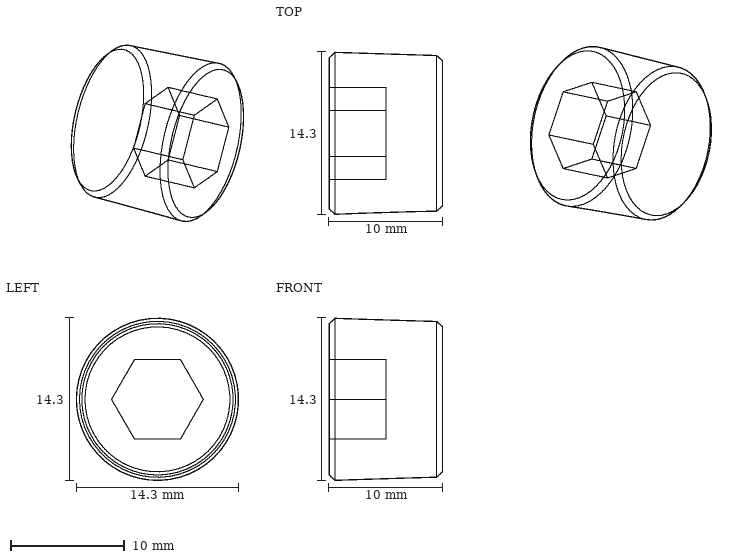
import cadquery as cq
import math

length = 10.0
large_diameter = 14.28
taper_ratio = 1 / 16
chamfer_length = 0.53
chamfer_height = 0.49
socket_across_flats = 7.0
socket_depth = 5.0

large_radius = large_diameter / 2
taper_length = length - 2 * chamfer_length
small_radius = large_radius - taper_length * taper_ratio / 2


def make_body():
    """Revolve the chamfered, tapered half profile around the X axis."""
    return (
        cq.Workplane("XY")
        .moveTo(0, 0)
        .lineTo(0, large_radius - chamfer_height)
        .lineTo(chamfer_length, large_radius)
        .lineTo(length - chamfer_length, small_radius)
        .lineTo(length, small_radius - chamfer_height)
        .lineTo(length, 0)
        .close()
        .revolve(360, (0, 0, 0), (1, 0, 0))
    )


def make_socket():
    """Flat-bottomed hexagonal prism with corners on the Y axis."""
    across_corners = socket_across_flats / math.cos(math.pi / 6)
    return cq.Workplane("YZ").polygon(6, across_corners).extrude(socket_depth)


result = make_body().cut(make_socket())